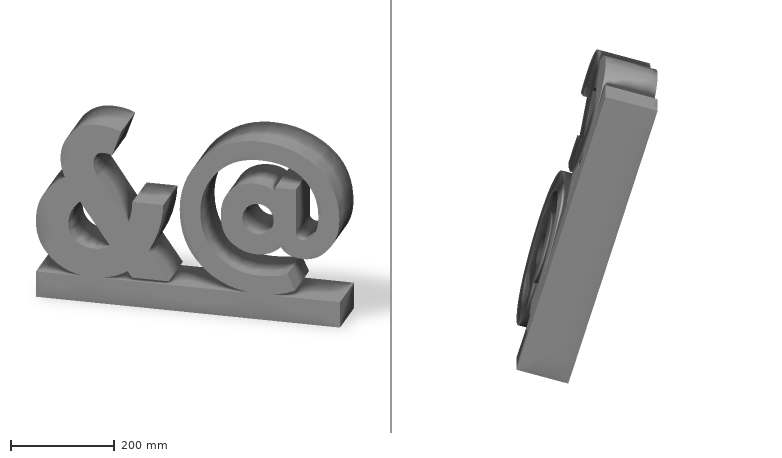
import cadquery as cq

length = 610.0
depth = 105.0
height = 371.5
base_height = 53.0
letter_height = height - base_height

amp_foot_z = 7.5
amp_arm_z = 165.5
amp_upper_left = 49.5
amp_hook_left = 116.0
amp_hook_top = 262.0
amp_eye_left = 65.0
amp_eye_bottom = 60.0

at_width = 320.0
at_right_gap = 1.0
at_x = length - at_right_gap - at_width
ring_inner_left = 41.5
ring_inner_right = 278.0
ring_inner_top = 279.5
ring_inner_bottom = 38.5
bowl_left = 82.5
bowl_top = 229.5
bowl_bottom = 82.5
stem_left = 191.0
stem_right = 233.0
stem_top = 226.0
hook_inner_bottom = 121.5
eye_center = (157.5, 156.0)
eye_x_radius = 31.0
eye_z_radius = 32.0


def midpoint(a, b):
    return ((a[0] + b[0]) / 2, (a[1] + b[1]) / 2)


def closed_outline(start, strokes, corner):
    """Closed wire in the XZ plane, with its coordinates measured from corner.

    Each stroke lists its control points and then its end point. A stroke with
    no control point is a straight line. Others are quadratic curves, joined
    smoothly midway between neighbouring control points.
    """
    path = cq.Workplane("XZ", origin=(corner[0], 0, corner[1])).moveTo(*start)
    current = start
    for *controls, end in strokes:
        if not controls:
            path = path.lineTo(*end)
        joints = [midpoint(a, b) for a, b in zip(controls, controls[1:])] + [end]
        for control, joint in zip(controls, joints):
            path = path.bezier([current, control, joint])
            current = joint
        current = end
    return path.close()


def through_depth(outline):
    """Extrude an XZ outline from Y = 0 to the back face."""
    return outline.extrude(-depth)


def make_base():
    return cq.Workplane("XY").box(length, depth, base_height, centered=False)


def make_ampersand():
    corner = (0, base_height)
    tip = (171.0, 309.5)
    body_strokes = [
        [(161.0, 314.0), (137.0, letter_height), (125.0, letter_height)],
        [(93.0, letter_height), (amp_upper_left, 274.5), (amp_upper_left, 241.5)],
        [(amp_upper_left, 219.5), (59.0, 201.5)],
        [(29.0, 185.5), (0, 139.0), (0, 105.0)],
        [(0, 60.5), (64.0, 0), (113.5, 0)],
        [(155.0, 0), (183.5, 20.0)],
        [(193.0, amp_foot_z)],
        [(266.5, amp_foot_z)],
        [(226.0, 65.0)],
        [(254.0, 112.0), (255.5, amp_arm_z)],
        [(193.5, amp_arm_z)],
        [(193.0, 139.0), (185.5, 122.0)],
        [(123.0, 213.0)],
        [(amp_hook_left, 226.5), (amp_hook_left, 239.0)],
        [(amp_hook_left, 251.0), (127.5, amp_hook_top), (135.0, amp_hook_top)],
        [(147.0, amp_hook_top), (152.5, 258.0)],
    ]
    eye_start = (88.5, 155.0)
    eye_strokes = [
        [(149.0, 69.0)],
        [(135.0, amp_eye_bottom), (117.0, amp_eye_bottom)],
        [(94.5, amp_eye_bottom), (amp_eye_left, 85.0), (amp_eye_left, 107.0)],
        [(amp_eye_left, 135.0), eye_start],
    ]
    body = through_depth(closed_outline(tip, body_strokes, corner))
    eye = through_depth(closed_outline(eye_start, eye_strokes, corner))
    return body.cut(eye)


def make_at_sign():
    corner = (at_x, base_height)
    tail = (231.0, 14.5)
    strokes = [
        [(200.0, 0), (164.0, 0)],
        [(92.0, 0), (0, 88.5), (0, 160.0)],
        [(0, 226.5), (93.5, letter_height), (160.5, letter_height)],
        [(223.0, letter_height), (at_width, 241.5), (at_width, 171.0)],
        [(at_width, 133.0), (277.0, bowl_bottom), (249.0, bowl_bottom)],
        [(215.5, bowl_bottom), (203.0, 102.5)],
        [(183.0, bowl_bottom), (152.0, bowl_bottom)],
        [(127.0, bowl_bottom), (bowl_left, 119.0), (bowl_left, 157.5)],
        [(bowl_left, 192.0), (123.0, bowl_top), (153.0, bowl_top)],
        [(177.5, bowl_top), (stem_left, 216.5)],
        [(stem_left, stem_top)],
        [(stem_right, stem_top)],
        [(stem_right, 131.0)],
        [(237.0, hook_inner_bottom), (249.0, hook_inner_bottom)],
        [(255.0, hook_inner_bottom), (ring_inner_right, 143.5), (ring_inner_right, 175.0)],
        [(ring_inner_right, 218.0), (221.0, ring_inner_top), (160.5, ring_inner_top)],
        [(108.0, ring_inner_top), (ring_inner_left, 208.5), (ring_inner_left, 158.0)],
        [(ring_inner_left, 104.5), (110.0, ring_inner_bottom), (159.0, ring_inner_bottom)],
        [(198.0, ring_inner_bottom), (216.0, 47.5)],
    ]
    body = through_depth(closed_outline(tail, strokes, corner))
    eye_outline = (
        cq.Workplane("XZ", origin=(corner[0], 0, corner[1]))
        .center(*eye_center)
        .ellipse(eye_x_radius, eye_z_radius)
    )
    return body.cut(through_depth(eye_outline))


base = make_base()
ampersand = make_ampersand()
at_sign = make_at_sign()

result = cq.Compound.makeCompound([base.val(), ampersand.val(), at_sign.val()])